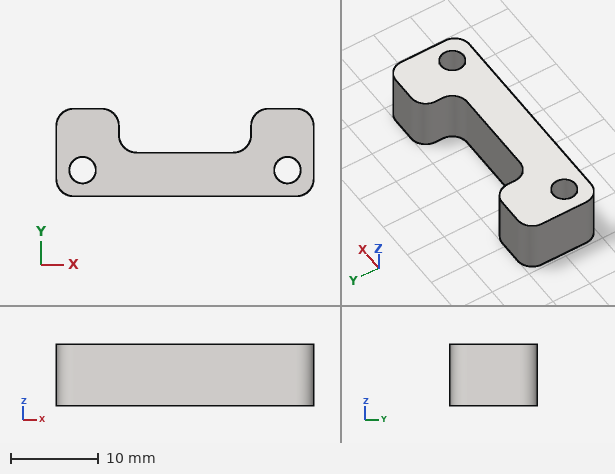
import cadquery as cq

length = 29.3
depth = 10.0
height = 7.0
corner_radius = 2.0

notch_width = 15.0
notch_depth = depth / 2

hole_diameter = 3.0
hole_spacing = 23.3
hole_edge_distance = 3.0


def block_with_notch():
    """U-shaped block with every vertical edge rounded."""
    block = cq.Workplane("XY").box(length, depth, height)
    notch = cq.Workplane("XY").box(notch_width, notch_depth, height)
    notch = notch.translate((0, (depth - notch_depth) / 2, 0))
    return block.cut(notch).edges("|Z").fillet(corner_radius)


def mounting_holes():
    """Pair of cylinders that pass through the full height."""
    hole_y = hole_edge_distance - depth / 2
    centers = [(side * hole_spacing / 2, hole_y) for side in (-1, 1)]
    return (
        cq.Workplane("XY")
        .workplane(offset=-height / 2)
        .pushPoints(centers)
        .circle(hole_diameter / 2)
        .extrude(height)
    )


result = block_with_notch().cut(mounting_holes())